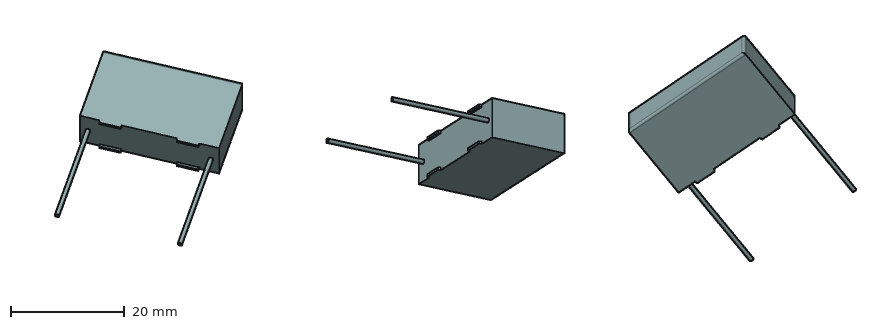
import cadquery as cq

housing_width = 25.5
housing_depth = 15.0
housing_height = 7.5
back_fillet = 0.5

foot_base_width = 4.15
foot_tip_width = 3.85
foot_length = 0.5
foot_thickness = 0.5
foot_pitch = 14.2

overall_length = 34.5
lead_length = overall_length - housing_depth
lead_diameter = 0.83
lead_pitch = 22.5


def make_foot(center_x, bottom_z):
    """Tapered foot that projects from the front face toward -Y."""
    half_base = foot_base_width / 2
    half_tip = foot_tip_width / 2
    return (
        cq.Workplane("XY", origin=(center_x, 0, bottom_z))
        .moveTo(-half_base, 0)
        .lineTo(-half_tip, -foot_length)
        .lineTo(half_tip, -foot_length)
        .lineTo(half_base, 0)
        .close()
        .extrude(foot_thickness)
    )


def make_housing():
    """Box with rounded back edges and four feet on its front face."""
    body = (
        cq.Workplane("XY")
        .box(housing_width, housing_depth, housing_height, centered=(True, False, True))
        .faces(">Y")
        .edges()
        .fillet(back_fillet)
    )
    lower_foot_z = -housing_height / 2
    upper_foot_z = housing_height / 2 - foot_thickness
    for side in (-1, 1):
        for bottom_z in (lower_foot_z, upper_foot_z):
            body = body.union(make_foot(side * foot_pitch / 2, bottom_z))
    return body


def make_lead(center_x):
    """Straight round lead that butts against the front face and runs toward -Y."""
    return (
        cq.Workplane("XZ", origin=(center_x, 0, 0))
        .circle(lead_diameter / 2)
        .extrude(lead_length)
    )


housing = make_housing()
leads = [make_lead(side * lead_pitch / 2) for side in (-1, 1)]

result = cq.Compound.makeCompound([housing.val(), *[lead.val() for lead in leads]])